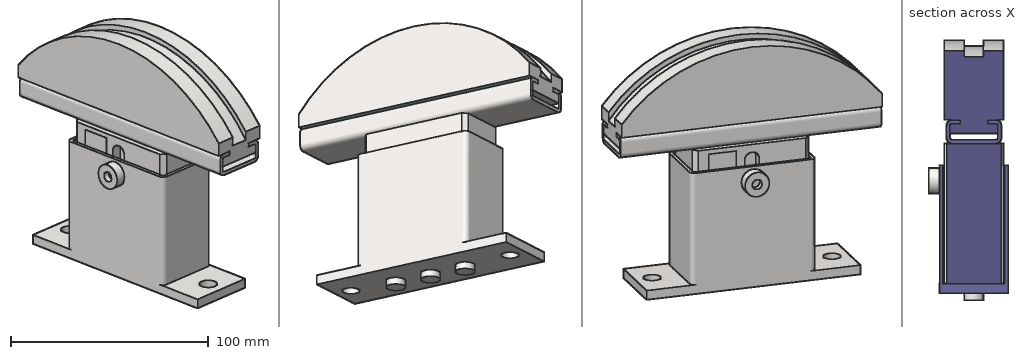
import cadquery as cq
import math

plate_length = 115.0
base_width = 35.0
plate_thickness = 5.0
tube_length = 67.0
tube_top = 65.0
tube_corner_radius = 2.5
tube_wall = 2.0
mount_hole_diameter = 9.0
mount_hole_spacing = 96.6
mount_hole_count = 2
stud_diameter = 10.0
stud_height = 3.5
stud_spacing = 21.0
stud_count = 3

block_length = 62.6
block_width = 30.1
block_top = 75.9
block_chamfer = 2.4
slot_width = 8.0
slot_top = 71.7
slot_depth = 5.5
panel_left = -23.2
panel_right = -8.4
panel_top = 73.4
panel_height = 14.0
panel_depth = 0.07

bolt_height = 57.0
bolt_head_diameter = 13.0
bolt_head_length = 5.5
bolt_socket_diameter = 5.2
bolt_socket_depth = 3.5
shank_diameter = 6.0

rail_width = 28.0
rail_height = 11.9
rail_wall = 2.0
rail_outer_radius = 3.0
rail_mouth = 13.7

shoe_length = 140.0
shoe_width = 30.1
shoe_radius = 90.0
shoe_top = 128.2
groove_width = 9.5
groove_depth = 2.8
tongue_bottom = 80.9

cavity_length = tube_length - 2 * tube_wall
cavity_width = base_width - 2 * tube_wall
cavity_corner_radius = tube_corner_radius - tube_wall
rail_top = block_top + rail_height
rail_inner_width = rail_width - 2 * rail_wall
rail_inner_radius = rail_outer_radius - rail_wall
tube_front = -base_width / 2
cavity_front = -cavity_width / 2
block_front = -block_width / 2


def box(length, width, bottom, top):
    """Box centred on the Z axis, from height bottom to height top."""
    return cq.Workplane("XY", origin=(0, 0, bottom)).rect(length, width).extrude(top - bottom)


def cylinder_y(diameter, start_y, end_y, height):
    """Cylinder along Y at X = 0, from start_y to end_y."""
    plane = cq.Workplane("XZ", origin=(0, start_y, height))
    return plane.circle(diameter / 2).extrude(start_y - end_y)


def make_base():
    plate = box(plate_length, base_width, 0, plate_thickness)
    tube = box(tube_length, base_width, 0, tube_top).edges("|Z").fillet(tube_corner_radius)
    cavity = box(cavity_length, cavity_width, plate_thickness, tube_top)
    cavity = cavity.edges("|Z").fillet(cavity_corner_radius)
    base = plate.union(tube).cut(cavity)

    mount_holes = (
        cq.Workplane("XY")
        .rarray(mount_hole_spacing, 1.4, mount_hole_count, 1)
        .circle(mount_hole_diameter / 2)
        .extrude(plate_thickness)
    )
    studs = (
        cq.Workplane("XY")
        .rarray(stud_spacing, 1.4, stud_count, 1)
        .circle(stud_diameter / 2)
        .extrude(-stud_height)
    )
    bolt_hole = cylinder_y(shank_diameter, tube_front, cavity_front, bolt_height)
    return base.cut(mount_holes).union(studs).cut(bolt_hole)


def make_block():
    block = box(block_length, block_width, plate_thickness, block_top)
    block = block.edges("|Z").chamfer(block_chamfer)

    slot_bottom = bolt_height - slot_width / 2
    slot = (
        cq.Workplane("XZ", origin=(0, block_front, (slot_top + slot_bottom) / 2))
        .slot2D(slot_top - slot_bottom, slot_width, 90)
        .extrude(-slot_depth)
    )

    panel_length = panel_right - panel_left
    panel_corner = (panel_left, block_front, panel_top - panel_height)
    panel = cq.Workplane("XY", origin=panel_corner).box(
        panel_length, panel_depth, panel_height, centered=False
    )
    return block.cut(slot).cut(panel)


def make_bolt():
    head_front = tube_front - bolt_head_length
    head = cylinder_y(bolt_head_diameter, head_front, tube_front, bolt_height)
    shank = cylinder_y(shank_diameter, tube_front, block_front + slot_depth, bolt_height)
    socket = cylinder_y(bolt_socket_diameter, head_front, head_front + bolt_socket_depth, bolt_height)
    return head.union(shank).cut(socket)


def make_rail():
    outer = box(shoe_length, rail_width, block_top, rail_top).edges("|X").fillet(rail_outer_radius)
    inner = box(shoe_length, rail_inner_width, block_top + rail_wall, rail_top - rail_wall)
    inner = inner.edges("|X").fillet(rail_inner_radius)
    mouth = box(shoe_length, rail_mouth, rail_top - rail_wall, rail_top)
    return outer.cut(inner).cut(mouth)


def curved_slab(radius, width):
    """Slab under an arc of the given radius about the shoe's curve axis, down to the rail top."""
    half_length = shoe_length / 2
    axis_height = shoe_top - shoe_radius
    arc_end = axis_height + math.sqrt(radius**2 - half_length**2)
    return (
        cq.Workplane("XZ", origin=(0, width / 2, 0))
        .moveTo(-half_length, rail_top)
        .lineTo(-half_length, arc_end)
        .threePointArc((0, axis_height + radius), (half_length, arc_end))
        .lineTo(half_length, rail_top)
        .close()
        .extrude(width)
    )


def make_shoe():
    groove = curved_slab(shoe_radius, groove_width).cut(
        curved_slab(shoe_radius - groove_depth, groove_width)
    )
    shoe = curved_slab(shoe_radius, shoe_width).cut(groove)

    neck = box(shoe_length, rail_mouth, rail_top - rail_wall, rail_top)
    tongue = box(shoe_length, rail_inner_width, tongue_bottom, rail_top - rail_wall)
    tongue = tongue.edges("|X and >Z").fillet(rail_inner_radius)
    return shoe.union(neck).union(tongue)


base = make_base()
block = make_block()
bolt = make_bolt()
rail = make_rail()
shoe = make_shoe()

result = cq.Compound.makeCompound(
    [base.val(), block.val(), bolt.val(), rail.val(), shoe.val()]
)